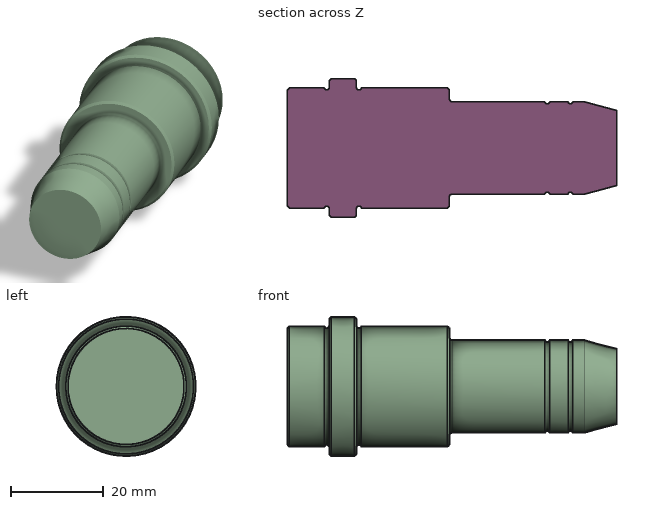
import cadquery as cq
import math

length = 71.0
body_radius = 26.0 / 2
flange_radius = 30.0 / 2
shank_radius = 20.0 / 2

flange_start = 9.0
flange_end = 15.0
body_end = 35.0
taper_start = 64.0
taper_angle = math.radians(15)

edge_chamfer = 0.5
root_fillet = 0.5

groove_width = 1.0
groove_depth = 0.4
shank_groove_starts = (55.5, 60.5)

tip_radius = shank_radius - (length - taper_start) * math.tan(taper_angle)


def add_groove(outline, start, radius):
    """Extend the outline to a groove and follow its arc to the far edge."""
    middle = (start + groove_width / 2, radius - groove_depth)
    end = (start + groove_width, radius)
    return outline.lineTo(start, radius).threePointArc(middle, end)


outline = (
    cq.Workplane("XY")
    .moveTo(0, 0)
    .lineTo(0, body_radius - edge_chamfer)
    .lineTo(edge_chamfer, body_radius)
)
outline = add_groove(outline, flange_start - groove_width, body_radius)

outline = (
    outline.lineTo(flange_start, flange_radius - edge_chamfer)
    .lineTo(flange_start + edge_chamfer, flange_radius)
    .lineTo(flange_end - edge_chamfer, flange_radius)
    .lineTo(flange_end, flange_radius - edge_chamfer)
)

outline = add_groove(outline, flange_end, body_radius)
outline = (
    outline.lineTo(body_end - edge_chamfer, body_radius)
    .lineTo(body_end, body_radius - edge_chamfer)
    .lineTo(body_end, shank_radius + root_fillet)
    .radiusArc((body_end + root_fillet, shank_radius), -root_fillet)
)

for groove_start in shank_groove_starts:
    outline = add_groove(outline, groove_start, shank_radius)
outline = (
    outline.lineTo(taper_start, shank_radius)
    .lineTo(length, tip_radius)
    .lineTo(length, 0)
    .close()
)

result = outline.revolve(360, (0, 0, 0), (1, 0, 0))